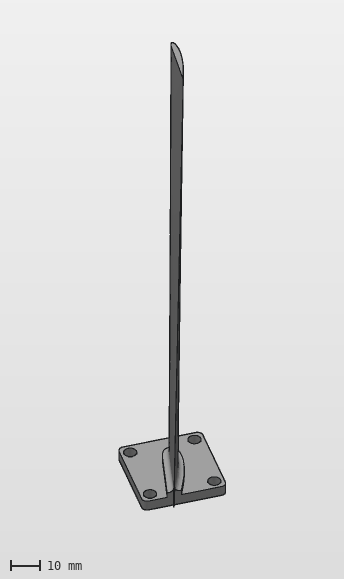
import math

import cadquery as cq

plate_side = 30.0
plate_thickness = 4.0
corner_radius = 2.0
hole_diameter = 4.5
hole_spacing = 23.0

blade_height = 190.0
root_nose = (-5.6, 1.15)
root_chord = 22.3
root_angle = -14.4
tip_nose = (-4.85, 1.4)
tip_chord = 20.0
tip_angle = -6.0

max_camber = 0.035
camber_position = 0.40
thickness_ratio = 0.12
reference_thickness = 0.20
thickness_terms = (0.2969, -0.1260, -0.3516, 0.2843, -0.1015)
thickness_term_powers = (0.5, 1, 2, 3, 4)
points_per_side = 14

collar_offset = 2.2
collar_height = 2.0
root_fillet = 1.7

foot_height = 12.0
tolerance = 0.01


def half_thickness(u):
    """Half thickness of the airfoil at chord fraction u."""
    profile = sum(term * u**power for term, power in zip(thickness_terms, thickness_term_powers))
    return profile * thickness_ratio / reference_thickness


def camber(u):
    """Height of the airfoil's mean line at chord fraction u."""
    if u < camber_position:
        return max_camber * (2 * camber_position * u - u**2) / camber_position**2
    rear = 1 - 2 * camber_position + 2 * camber_position * u - u**2
    return max_camber * rear / (1 - camber_position) ** 2


def airfoil_points(nose, chord, angle):
    """Points from the upper tail round the nose to the lower tail."""
    turn = math.radians(angle)
    points = []
    for i in range(-points_per_side, points_per_side + 1):
        u = 1 - math.cos(0.5 * math.pi * i / points_per_side)
        side = 1 if i < 0 else -1
        v = camber(u) + side * half_thickness(u)
        x = nose[0] + chord * (u * math.cos(turn) - v * math.sin(turn))
        y = nose[1] + chord * (u * math.sin(turn) + v * math.cos(turn))
        points.append((x, y))
    return points


def offset_points(points, distance):
    """Move each point outward, square to the chord between its neighbours."""
    last = len(points) - 1
    moved = []
    for i, (x, y) in enumerate(points):
        before = points[max(i - 1, 0)]
        after = points[min(i + 1, last)]
        dx = after[0] - before[0]
        dy = after[1] - before[1]
        length = math.hypot(dx, dy)
        moved.append((x + distance * dy / length, y - distance * dx / length))
    return moved


def make_plate():
    """Square plate with rounded corners and four through holes."""
    plate = cq.Workplane("XY").rect(plate_side, plate_side).extrude(plate_thickness)
    plate = plate.edges("|Z").fillet(corner_radius)
    holes = plate.faces(">Z").workplane().rect(hole_spacing, hole_spacing, forConstruction=True)
    return holes.vertices().hole(hole_diameter)


def make_blade():
    """Straight-ruled loft between the root and tip airfoils."""
    root = airfoil_points(root_nose, root_chord, root_angle)
    tip = airfoil_points(tip_nose, tip_chord, tip_angle)
    sections = cq.Workplane("XY").spline(root).close()
    sections = sections.workplane(offset=blade_height).spline(tip).close()
    return sections.loft(ruled=True)


def make_overhang_zone():
    """Block beside the plate's +X side, covering the blade tail up to foot_height."""
    block = cq.Workplane("XY").box(plate_side, plate_side, foot_height, centered=(False, True, False))
    return block.translate((plate_side / 2, 0, 0))


def make_blade_with_collar():
    """Blade with a collar blended into it; the blade tail overhangs the collar's flush end."""
    collar_top = plate_thickness + collar_height
    blade = make_blade()
    overhang_zone = make_overhang_zone()
    outline = offset_points(airfoil_points(root_nose, root_chord, root_angle), collar_offset)
    collar = cq.Workplane("XY").spline(outline).close().extrude(collar_top)
    body = blade.union(collar).cut(overhang_zone)
    around_foot = cq.selectors.BoxSelector(
        (root_nose[0] - collar_offset / 2, -plate_side / 2, collar_top - tolerance),
        (plate_side, plate_side / 2, collar_top + tolerance),
        boundingbox=True,
    )
    foot_line = body.edges(around_foot).edges("<X")
    foot = foot_line.fillet(root_fillet)
    return foot.union(blade.intersect(overhang_zone))


result = make_plate().union(make_blade_with_collar())